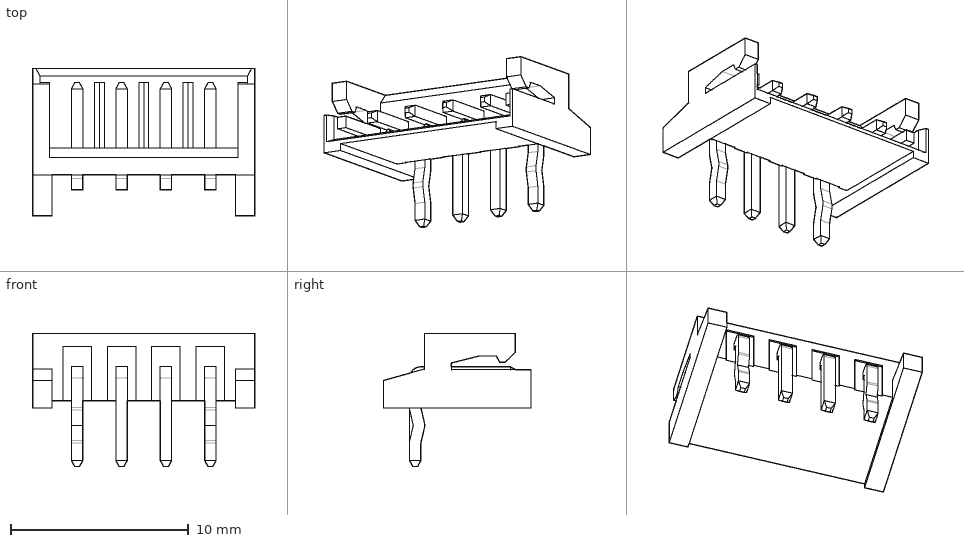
import cadquery as cq
import math


width = 12.5
depth = 8.3
height = 4.2
front_y = 2.3
body_bottom = 0.4
foot_width = 1.1
rail_top = 2.17
foot_tip_height = 1.56
foot_root_height = 2.2

arm_width = 0.95
arm_end_y = 7.42
arm_root_y = 3.82
arm_root_z = 2.53
arm_underside_z = 2.92
arm_ramp_end_y = 5.36
hook_tip_z = 2.57
hook_inner_y = 6.35
hook_tip_inner_y = 6.54
hook_tip_outer_y = 6.84
hook_outer_z = 3.14

floor_z = 0.8
wall_top_y = 3.28
wall_bevel_height = 0.56
rail_bottom = 1.5
rail_end_y = 7.49
outer_wall = 0.4
mouth_bevel_y = 0.42
mouth_bevel_side = 0.22
mouth_bevel_floor = 0.18
rib_base = 0.56
rib_height = 0.28

pin_count = 4
pitch = 2.5
pin_size = 0.65
pin_top = 2.33
tail_front_y = 1.46
tail_bottom = -3.3
tip_length = 0.35
tip_taper = 0.19
kink_shift = 0.215
kink_top_z = -0.04
kink_middle_z = -0.97
kink_bottom_z = -1.9

recess_width = 1.6
recess_top = 3.46
recess_depth = 0.08

half_width = width / 2
pin_positions = [(i - (pin_count - 1) / 2) * pitch for i in range(pin_count)]


def box(x0, x1, y0, y1, z0, z1):
    """Box between two opposite corners."""
    return cq.Workplane("XY").box(x1 - x0, y1 - y0, z1 - z0, centered=False).translate((x0, y0, z0))


def side_profile(points, x0, x1):
    """Extrude a closed (Y, Z) outline from x0 to x1."""
    return cq.Workplane("YZ").workplane(offset=x0).polyline(points).close().extrude(x1 - x0)


def housing_blank():
    """Pin wall and floor block with a foot and a latch arm at each end."""
    blank = box(-half_width, half_width, front_y, depth, body_bottom, rail_top)
    wall = box(-half_width, half_width, front_y, arm_root_y, body_bottom, height)
    blank = blank.union(wall)
    foot_outline = [
        (0, 0),
        (depth, 0),
        (depth, rail_top),
        (front_y, rail_top),
        (front_y, foot_root_height),
        (0, foot_tip_height),
    ]
    arm_outline = [
        (front_y, height),
        (arm_end_y, height),
        (arm_end_y, hook_outer_z),
        (hook_tip_outer_y, hook_tip_z),
        (hook_tip_inner_y, hook_tip_z),
        (hook_inner_y, arm_underside_z),
        (arm_ramp_end_y, arm_underside_z),
        (arm_root_y, arm_root_z),
        (arm_root_y, rail_top),
        (front_y, rail_top),
    ]
    foot = side_profile(foot_outline, -half_width, -half_width + foot_width)
    arm = side_profile(arm_outline, -half_width, -half_width + arm_width)
    for end_part in (foot, arm):
        blank = blank.union(end_part).union(end_part.mirror("YZ"))
    return blank


def cavity():
    """Space between the arms with a bevelled back wall, widened below and beyond the rails."""
    inner_half = half_width - arm_width
    outline = [
        (arm_root_y, floor_z),
        (depth, floor_z),
        (depth, height),
        (wall_top_y, height),
        (arm_root_y, height - wall_bevel_height),
    ]
    space = side_profile(outline, -inner_half, inner_half)
    wide_half = half_width - outer_wall
    undercut = box(-wide_half, wide_half, arm_root_y, depth, floor_z, rail_bottom)
    mouth = box(-wide_half, wide_half, rail_end_y, depth, floor_z, rail_top)
    return space.union(undercut).union(mouth).union(mouth_flare(wide_half))


def mouth_flare(wide_half):
    """Bevel of the mouth's sides and floor toward the open end, up to the rail tops."""
    flare_start = depth - mouth_bevel_y
    flared_half = wide_half + mouth_bevel_side
    flared_floor = floor_z - mouth_bevel_floor
    plan = [
        (-wide_half, flare_start),
        (wide_half, flare_start),
        (flared_half, depth),
        (-flared_half, depth),
    ]
    elevation = [
        (flare_start, floor_z),
        (depth, flared_floor),
        (depth, rail_top),
        (flare_start, rail_top),
    ]
    flare = cq.Workplane("XY").workplane(offset=flared_floor).polyline(plan).close()
    flare = flare.extrude(rail_top - flared_floor)
    return flare.intersect(side_profile(elevation, -half_width, half_width))


def rib(x):
    """Triangular rib on the cavity floor between two pins."""
    outline = [(x - rib_base / 2, floor_z), (x + rib_base / 2, floor_z), (x, floor_z + rib_height)]
    triangle = cq.Workplane("XZ").polyline(outline).close().extrude(rail_end_y - wall_top_y)
    return triangle.translate((0, rail_end_y, 0))


def recess(x):
    """Shallow pocket in the front face, open at the bottom."""
    half = recess_width / 2
    return box(x - half, x + half, front_y, front_y + recess_depth, body_bottom, recess_top)


def tip():
    """Tapered end of a pin, pointing down with its base centred on the origin."""
    end_size = pin_size - 2 * tip_taper
    base = cq.Workplane("XY").rect(pin_size, pin_size)
    return base.workplane(offset=-tip_length).rect(end_size, end_size).loft()


def pin(x, kinked):
    """L-shaped square pin; a kinked tail bulges toward +Y with its bends rounded outside."""
    x0 = x - pin_size / 2
    back_y = tail_front_y + pin_size
    blade_z = pin_top - pin_size
    blade_end = rail_end_y - tip_length
    tail_end = tail_bottom + tip_length
    lean = math.atan2(kink_shift, kink_top_z - kink_middle_z)

    path = cq.Workplane("YZ").workplane(offset=x0).moveTo(blade_end, pin_top).lineTo(back_y, pin_top)
    path = path.radiusArc((tail_front_y, blade_z), -pin_size)
    if kinked:
        path = kinked_front(path, lean)
    path = path.lineTo(tail_front_y, tail_end).lineTo(back_y, tail_end)
    if kinked:
        path = kinked_back(path, back_y, lean)
    path = path.lineTo(back_y, blade_z).lineTo(blade_end, blade_z).close()
    body = path.extrude(pin_size)

    middle_y = tail_front_y + pin_size / 2
    tail_tip = tip().translate((x, middle_y, tail_end))
    blade_tip = tip().rotate((0, 0, 0), (1, 0, 0), 90).translate((x, blade_end, pin_top - pin_size / 2))
    return body.union(tail_tip).union(blade_tip)


def kinked_front(path, lean):
    """Front edge of the kink: rounded at its ends, sharp in the middle."""
    round_y = tail_front_y + pin_size * (1 - math.cos(lean))
    round_z = pin_size * math.sin(lean)
    top_z = kink_top_z + pin_size * math.tan(lean / 2)
    bottom_z = kink_bottom_z - pin_size * math.tan(lean / 2)
    path = path.lineTo(tail_front_y, top_z).radiusArc((round_y, top_z - round_z), -pin_size)
    path = path.lineTo(tail_front_y + kink_shift, kink_middle_z)
    path = path.lineTo(round_y, bottom_z + round_z)
    return path.radiusArc((tail_front_y, bottom_z), -pin_size)


def kinked_back(path, back_y, lean):
    """Back edge of the kink: sharp at its ends, rounded in the middle."""
    round_y = tail_front_y + kink_shift + pin_size * math.cos(lean)
    round_z = pin_size * math.sin(lean)
    bend_shift = pin_size * math.tan(lean / 2)
    path = path.lineTo(back_y, kink_bottom_z - bend_shift)
    path = path.lineTo(round_y, kink_middle_z - round_z)
    path = path.radiusArc((round_y, kink_middle_z + round_z), -pin_size)
    return path.lineTo(back_y, kink_top_z + bend_shift)


result = housing_blank().cut(cavity())
for left, right in zip(pin_positions, pin_positions[1:]):
    result = result.union(rib((left + right) / 2))
for position in pin_positions:
    result = result.cut(recess(position))
for position in pin_positions:
    is_end_pin = position in (pin_positions[0], pin_positions[-1])
    result = result.union(pin(position, is_end_pin))